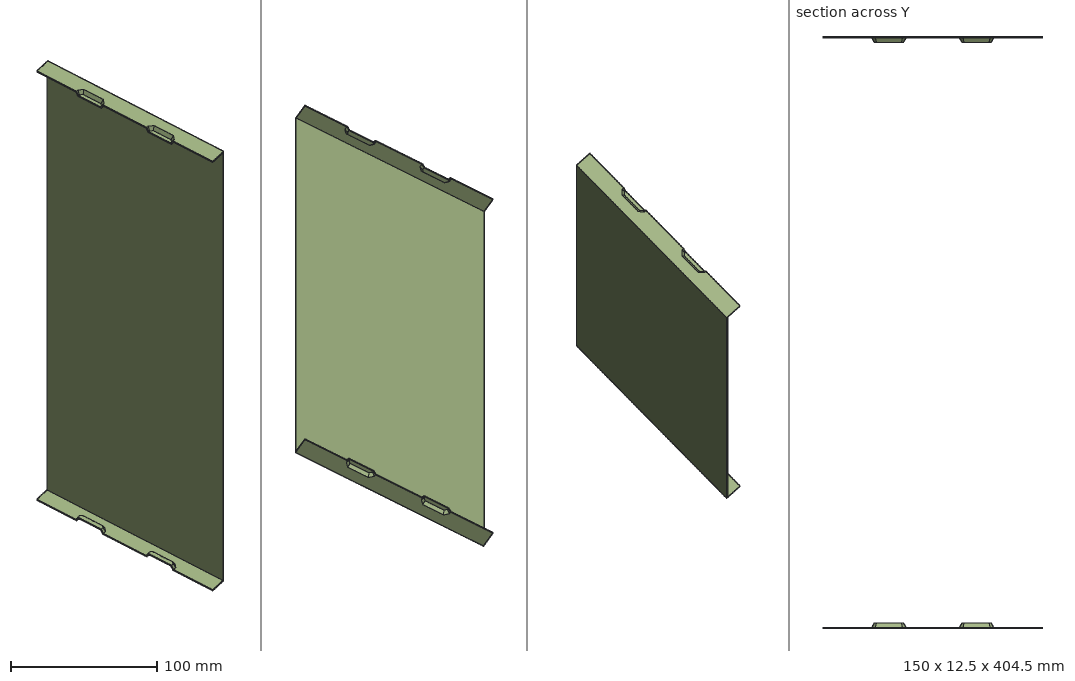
import cadquery as cq
import math

width = 150.0
depth = 12.5
height = 404.5
sheet = 1.0

dimple_spacing = 60.0
dimple_width = 22.2
dimple_reach = 4.5
dimple_depth = 3.05
dimple_corner = 3.0
wall_angle = 30.0

front = -depth / 2
top = height / 2
wall_growth = sheet / math.cos(math.radians(wall_angle))


def box(size_y, size_z):
    return cq.Workplane("XY").box(width, size_y, size_z)


def dimple_body(x, growth, body_depth):
    """Downward-tapering octagonal plug centred on the top flange's free edge."""
    half_x = dimple_width / 2 + growth
    half_y = dimple_reach + growth
    inner_x = half_x - dimple_corner
    inner_y = half_y - dimple_corner
    outline = [
        (half_x, -inner_y),
        (half_x, inner_y),
        (inner_x, half_y),
        (-inner_x, half_y),
        (-half_x, inner_y),
        (-half_x, -inner_y),
        (-inner_x, -half_y),
        (inner_x, -half_y),
    ]
    downward = cq.Plane(origin=(x, front, top), xDir=(1, 0, 0), normal=(0, 0, -1))
    plug = cq.Workplane(downward).polyline(outline).close()
    return plug.extrude(body_depth, taper=wall_angle)


half_panel = box(sheet, top).translate((0, depth / 2 - sheet / 2, top / 2))
flange = box(depth, sheet).translate((0, 0, top - sheet / 2))
half = half_panel.union(flange)

for x in (-dimple_spacing / 2, dimple_spacing / 2):
    half = half.union(dimple_body(x, wall_growth, dimple_depth + sheet))
    half = half.cut(dimple_body(x, 0, dimple_depth))

envelope = box(depth, height)
half = half.intersect(envelope)

result = half.union(half.mirror("XY")).clean()